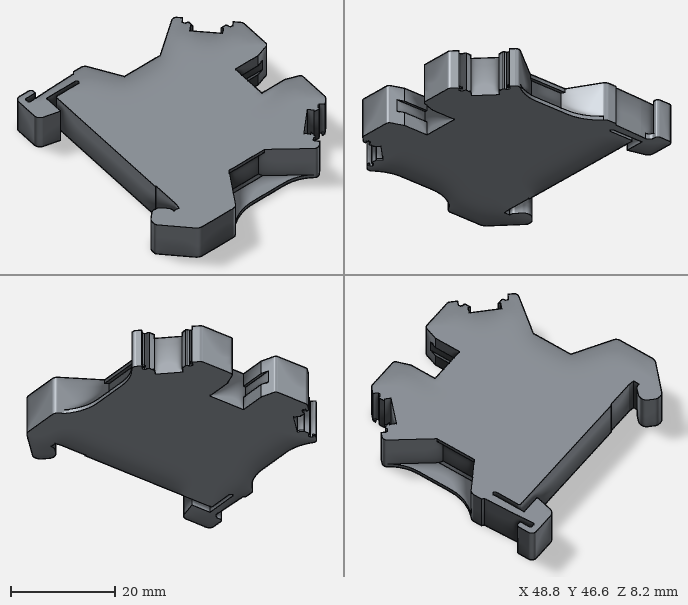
import cadquery as cq
import math

LENGTH = 48.75
HEIGHT = 46.6
THICKNESS = 8.2
MIRROR_X = 24.55
OVERLAP = 0.25

SLOT_HALF_WIDTH = 4.05
SLOT_BOTTOM_Y = 37.75
SLOT_TAPER_Y = 43.4
SLOT_FLARE = 1.1
BLOCK_TOP_X = 11.85
BLOCK_ROUND = 0.75
BLOCK_OUTER_ROUND = 0.98

WINDOW_DEPTH = 0.55
WINDOW_HEIGHT = 2.5

SHOULDER_X = 2.6
SHOULDER_TOP_Y = 37.4
SHOULDER_ROUND = 0.9
WAIST_X = 8.6
WAIST_TOP_Y = 28.8
WAIST_BOTTOM_Y = 20.0
UPPER_SLOPE = 1.3
LOWER_SLOPE = 0.6
LIP_THICKNESS = 0.85
UNDERCUT = 0.75
UNDERCUT_AT_FLANGE = 0.25
FLANGE_X = 4.8
FLANGE_TOP_Y = 30.5
FLANGE_BOTTOM_Y = 22.75
FLANGE_UPPER_END_Y = 36.25
FLANGE_LOWER_END_Y = 16.0

NOTCH_CENTER = (9.35, 39.55)
NOTCH_OUTER_V = 3.3
NOTCH_CLEARANCE = 2.45
TAB_EDGE_U = 2.7
TAB_WALL_U = 3.15
TAB_UNDERCUT_V = 1.3
LUG_EDGE_U = 4.3
LUG_WALL_U = 4.9
LUG_EDGE_V = 2.85
LUG_UNDERCUT_V = 2.45
GROOVE_V = 1.95
NOTCH_FLOOR_THICKNESS = 0.35

HIP_X = 1.45
HIP_BOTTOM_Y = 13.15
HIP_ROUND = 1.25
LEG_TOP = (1.9, 12.85)
LEG_KNEE = (2.15, 6.25)
LEG_INNER_X = 3.65
BODY_LEFT_X = 4.5
BODY_BOTTOM_Y = 6.35
GAP_TOP_Y = 12.3
GAP_ROUND = 0.4
FOOT_TOP_Y = 4.75
FOOT_TOE_X = 8.0
FOOT_HEEL_X = 6.88
FOOT_ROUND = 1.45
HOOK_TOP_Y = 3.95
HOOK_TOP_ROUND = 0.6
HOOK_BOTTOM_ROUND = 1.05
DRIVER_SLOT_X = 1.2
DRIVER_SLOT_BOTTOM = (2.45, 1.4)
DRIVER_SLOT_ROUND = 0.25
DRIVER_SLOT_FLOOR = 1.15
FILLER_TOP = (2.2, 5.05)
FILLER_BULGE = (1.95, 4.4)

RAIL_STEP_X = 34.85
RAIL_STEP = 0.2
RAIL_STEP_END_X = 40.9
THROAT_X = 42.1
THROAT_Y = 5.05
NOSE_X = 39.45
NOSE_TOP_X = 41.3
NOSE_SIDE_Y = 3.15
NOSE_CHAMFER = 1.8
NOSE_ROUND = 1.45
HEEL_X = 42.65
HEEL_ROUND = 0.98
RIGHT_BOTTOM_Y = 6.0
RIGHT_ROUND = 1.95


def mirrored_x(x):
    return 2 * MIRROR_X - x


def mirror_copy(solid):
    """The same solid on the other side of the symmetry plane."""
    return solid.mirror("YZ", (MIRROR_X, 0, 0))


def rounded_prism(corners, bottom, top):
    """Prism over a polygon of (x, y, corner radius) entries; radius 0 keeps a sharp corner."""
    pieces = []
    for i, (x, y, radius) in enumerate(corners):
        before = cq.Vector(*corners[i - 1][:2])
        after = cq.Vector(*corners[(i + 1) % len(corners)][:2])
        corner = cq.Vector(x, y)
        if radius == 0:
            pieces.append((corner, corner, corner))
            continue
        to_before = (before - corner).normalized()
        to_after = (after - corner).normalized()
        half_angle = to_before.getAngle(to_after) / 2
        tangent_length = radius / math.tan(half_angle)
        bisector = (to_before + to_after).normalized()
        middle = corner + bisector * (radius / math.sin(half_angle) - radius)
        pieces.append((corner + to_before * tangent_length, middle, corner + to_after * tangent_length))

    path = cq.Workplane("XY").workplane(offset=bottom).moveTo(*pieces[0][2].toTuple()[:2])
    for start, middle, end in pieces[1:] + pieces[:1]:
        path = path.lineTo(*start.toTuple()[:2])
        if start != end:
            path = path.threePointArc(middle.toTuple()[:2], end.toTuple()[:2])
    return path.close().extrude(top - bottom)


def prism(points, bottom, top):
    """Prism over a sharp-cornered polygon."""
    return cq.Workplane("XY").workplane(offset=bottom).polyline(points).close().extrude(top - bottom)


def upper_wall_x(y):
    """X of the left waist's upper wall at height y."""
    return WAIST_X - (y - WAIST_TOP_Y) / UPPER_SLOPE


def lower_wall_x(y):
    return WAIST_X - (WAIST_BOTTOM_Y - y) / LOWER_SLOPE


def upper_wall_y(x):
    return WAIST_TOP_Y + (WAIST_X - x) * UPPER_SLOPE


def lower_wall_y(x):
    return WAIST_BOTTOM_Y - (WAIST_X - x) * LOWER_SLOPE


def body():
    """Outer profile through the full thickness, without the notches and flanges."""
    slot_left = MIRROR_X - SLOT_HALF_WIDTH
    left_top = [
        (HIP_X, lower_wall_y(HIP_X), HIP_ROUND),
        (WAIST_X, WAIST_BOTTOM_Y, 0),
        (WAIST_X, WAIST_TOP_Y, 0),
        (SHOULDER_X, upper_wall_y(SHOULDER_X), SHOULDER_ROUND),
        (SHOULDER_X, SHOULDER_TOP_Y, SHOULDER_ROUND),
        (BLOCK_TOP_X, HEIGHT, BLOCK_OUTER_ROUND),
        (slot_left - SLOT_FLARE, HEIGHT, BLOCK_ROUND),
        (slot_left, SLOT_TAPER_Y, 0),
        (slot_left, SLOT_BOTTOM_Y, 0),
    ]
    right_top = [(mirrored_x(x), y, radius) for x, y, radius in reversed(left_top[1:])]
    rail_hook = [
        (LENGTH, lower_wall_y(mirrored_x(LENGTH)), HIP_ROUND),
        (LENGTH, RIGHT_BOTTOM_Y, RIGHT_ROUND),
        (HEEL_X, 0, HEEL_ROUND),
        (NOSE_X + NOSE_CHAMFER, 0, NOSE_ROUND),
        (NOSE_X, NOSE_CHAMFER, NOSE_ROUND),
        (NOSE_X, NOSE_SIDE_Y, NOSE_ROUND),
        (NOSE_TOP_X, THROAT_Y, NOSE_ROUND),
        (THROAT_X, THROAT_Y, 0),
        (THROAT_X, BODY_BOTTOM_Y, 0),
        (RAIL_STEP_END_X, BODY_BOTTOM_Y + RAIL_STEP, 0),
        (RAIL_STEP_X, BODY_BOTTOM_Y + RAIL_STEP, 0),
        (RAIL_STEP_X, BODY_BOTTOM_Y, 0),
    ]
    clip = [
        (BODY_LEFT_X, BODY_BOTTOM_Y, GAP_ROUND),
        (BODY_LEFT_X, GAP_TOP_Y, GAP_ROUND),
        (LEG_INNER_X, GAP_TOP_Y, GAP_ROUND),
        (LEG_INNER_X, FOOT_TOP_Y, 0),
        (FOOT_TOE_X, FOOT_TOP_Y, 0),
        (FOOT_HEEL_X, 0, FOOT_ROUND),
        (0, 0, HOOK_BOTTOM_ROUND),
        (0, HOOK_TOP_Y, HOOK_TOP_ROUND),
        (DRIVER_SLOT_X, HOOK_TOP_Y, 0),
        (DRIVER_SLOT_X, DRIVER_SLOT_BOTTOM[1], DRIVER_SLOT_ROUND),
        (*DRIVER_SLOT_BOTTOM, DRIVER_SLOT_ROUND),
        (*LEG_KNEE, 0),
        (*LEG_TOP, 0),
        (HIP_X, HIP_BOTTOM_Y, 0),
    ]
    return rounded_prism(left_top + right_top + rail_hook + clip, 0, THICKNESS)


def driver_slot_filler():
    """Closes the bottom of the screwdriver slot and blends it into the leg."""
    return (
        cq.Workplane("XY")
        .moveTo(DRIVER_SLOT_X - OVERLAP, HOOK_TOP_Y)
        .lineTo(DRIVER_SLOT_X, HOOK_TOP_Y)
        .threePointArc(FILLER_BULGE, FILLER_TOP)
        .lineTo(DRIVER_SLOT_BOTTOM[0] + OVERLAP, FILLER_TOP[1])
        .lineTo(DRIVER_SLOT_BOTTOM[0] + OVERLAP, DRIVER_SLOT_BOTTOM[1] - OVERLAP)
        .lineTo(DRIVER_SLOT_X - OVERLAP, DRIVER_SLOT_BOTTOM[1] - OVERLAP)
        .close()
        .extrude(DRIVER_SLOT_FLOOR)
    )


def waist_flange():
    """Thin plate with a concave edge across the bottom of the left waist."""
    inner_x = WAIST_X + UNDERCUT + OVERLAP
    return (
        cq.Workplane("XY")
        .moveTo(FLANGE_X, FLANGE_BOTTOM_Y)
        .lineTo(FLANGE_X, FLANGE_TOP_Y)
        .tangentArcPoint((upper_wall_x(FLANGE_UPPER_END_Y), FLANGE_UPPER_END_Y), relative=False)
        .lineTo(inner_x, FLANGE_UPPER_END_Y)
        .lineTo(inner_x, FLANGE_LOWER_END_Y)
        .lineTo(lower_wall_x(FLANGE_LOWER_END_Y), FLANGE_LOWER_END_Y)
        .threePointArc(lower_arc_middle(), (FLANGE_X, FLANGE_BOTTOM_Y))
        .close()
        .extrude(LIP_THICKNESS)
    )


def lower_arc_middle():
    """Middle point of the flange's lower arc, which leaves the straight edge tangentially."""
    across = FLANGE_X - lower_wall_x(FLANGE_LOWER_END_Y)
    along = FLANGE_BOTTOM_Y - FLANGE_LOWER_END_Y
    radius = (across**2 + along**2) / (2 * across)
    half_sweep = math.asin(along / radius) / 2
    return (
        FLANGE_X - radius * (1 - math.cos(half_sweep)),
        FLANGE_BOTTOM_Y - radius * math.sin(half_sweep),
    )


def waist_undercut():
    """Cut behind the lip of the left waist, with a sloped face down to the flange."""

    def section(depth):
        deep_x = WAIST_X + depth
        return [
            (WAIST_X, WAIST_TOP_Y),
            (deep_x, upper_wall_y(deep_x)),
            (deep_x, lower_wall_y(deep_x)),
            (WAIST_X, WAIST_BOTTOM_Y),
        ]

    slope_height = UNDERCUT - UNDERCUT_AT_FLANGE
    slope_top = LIP_THICKNESS + slope_height
    slope = (
        cq.Workplane("XY")
        .workplane(offset=LIP_THICKNESS)
        .polyline(section(UNDERCUT_AT_FLANGE))
        .close()
        .workplane(offset=slope_height)
        .polyline(section(UNDERCUT))
        .close()
        .loft(ruled=True)
    )
    return slope.union(prism(section(UNDERCUT), slope_top, THICKNESS - LIP_THICKNESS))


def notch():
    """Cutter for the left diagonal notch; its undercuts stop above a thin floor."""
    clear_v = NOTCH_OUTER_V + NOTCH_CLEARANCE
    open_half = [
        (TAB_EDGE_U, 0),
        (TAB_EDGE_U, TAB_UNDERCUT_V),
        (3.5, 2.2),
        (3.8, 2.25),
        (4.2, GROOVE_V),
        (4.55, GROOVE_V),
        (LUG_WALL_U, 2.2),
        (LUG_WALL_U, 2.7),
        (4.5, 2.7),
        (LUG_EDGE_U, LUG_EDGE_V),
        (LUG_WALL_U, NOTCH_OUTER_V),
        (LUG_WALL_U, clear_v),
    ]

    def pocket(u_start, u_end, v_start, v_end):
        return [(u_start, v_start), (u_end, v_start), (u_end, v_end), (u_start, v_end)]

    tab_undercut = pocket(TAB_EDGE_U, TAB_WALL_U, 0, TAB_UNDERCUT_V)
    lug_undercut = pocket(LUG_EDGE_U, LUG_WALL_U, LUG_UNDERCUT_V, NOTCH_OUTER_V)

    def place(points):
        diagonal = math.sqrt(0.5)
        return [
            (NOTCH_CENTER[0] + (u - v) * diagonal, NOTCH_CENTER[1] + (u + v) * diagonal)
            for u, v in points
        ]

    def other_end(points):
        return [(-u, v) for u, v in points]

    cutter = prism(place(open_half + other_end(open_half)[::-1]), 0, THICKNESS)
    for undercut in (tab_undercut, lug_undercut):
        for points in (undercut, other_end(undercut)):
            cutter = cutter.union(prism(place(points), NOTCH_FLOOR_THICKNESS, THICKNESS))
    return cutter


def slot_windows():
    """Shallow recess in both slot walls, running out on the flared part."""
    return (
        cq.Workplane("XY")
        .box(2 * (SLOT_HALF_WIDTH + WINDOW_DEPTH), HEIGHT - SLOT_BOTTOM_Y, WINDOW_HEIGHT)
        .translate((MIRROR_X, (HEIGHT + SLOT_BOTTOM_Y) / 2, THICKNESS / 2))
    )


result = (
    body()
    .union(driver_slot_filler())
    .union(waist_flange())
    .union(mirror_copy(waist_flange()))
)
for cutter in (waist_undercut(), notch()):
    result = result.cut(cutter).cut(mirror_copy(cutter))
result = result.cut(slot_windows()).solids()